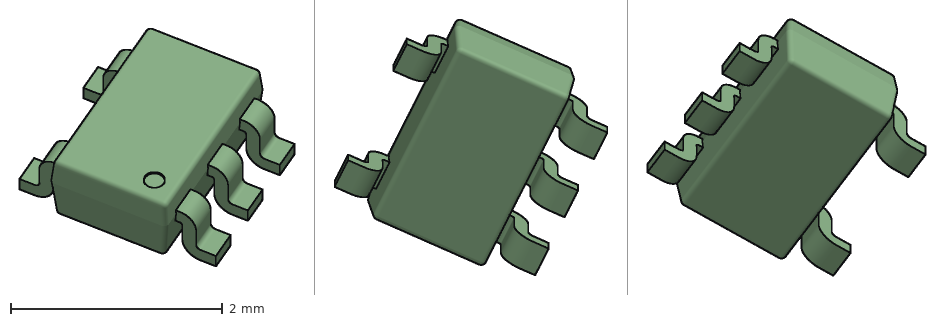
import cadquery as cq
import math

body_width = 1.25
body_length = 2.0
body_bottom = 0.05
body_top = 0.8
parting_height = 0.53
draft_angle = 5.0
edge_radius = 0.05

mark_x = 0.355
mark_y = -0.73
mark_diameter = 0.2
mark_depth = 0.02

lead_span = 2.1
lead_width = 0.3
lead_thickness = 0.15
lead_pitch = 0.65
lead_top = 0.575
foot_length = 0.212
shoulder_inner_radius = 0.025
ankle_inner_radius = 0.05
lead_embed = 0.105


def make_body_half(height):
    """Tapered block from the parting line; a negative height goes down."""
    return (
        cq.Workplane("XY")
        .workplane(offset=parting_height)
        .rect(body_width, body_length)
        .extrude(height, taper=draft_angle)
    )


def make_body():
    upper = make_body_half(body_top - parting_height)
    lower = make_body_half(body_bottom - parting_height)
    body = upper.union(lower)
    corner_edges = body.edges("not(#Z)")
    rims = body.faces("<Z or >Z").edges()
    return body.newObject(corner_edges.vals() + rims.vals()).fillet(edge_radius)


def make_lead(y_centre):
    """Lead on the +X side: foot, upright, and shoulder running into the body."""
    toe_x = lead_span / 2
    upright_outer_x = toe_x - foot_length
    upright_inner_x = upright_outer_x - lead_thickness
    root_x = body_width / 2 - lead_embed
    shoulder_outer_radius = shoulder_inner_radius + lead_thickness
    ankle_outer_radius = ankle_inner_radius + lead_thickness
    shoulder_x = upright_inner_x - shoulder_inner_radius
    shoulder_z = lead_top - shoulder_outer_radius
    ankle_x = upright_outer_x + ankle_inner_radius
    ankle_z = ankle_outer_radius
    diagonal = math.sqrt(0.5)

    def on_shoulder(radius):
        return (shoulder_x + radius * diagonal, shoulder_z + radius * diagonal)

    def on_ankle(radius):
        return (ankle_x - radius * diagonal, ankle_z - radius * diagonal)

    return (
        cq.Workplane("XZ", origin=(0, y_centre, 0))
        .moveTo(root_x, lead_top)
        .lineTo(shoulder_x, lead_top)
        .threePointArc(on_shoulder(shoulder_outer_radius), (upright_outer_x, shoulder_z))
        .lineTo(upright_outer_x, ankle_z)
        .threePointArc(on_ankle(ankle_inner_radius), (ankle_x, lead_thickness))
        .lineTo(toe_x, lead_thickness)
        .lineTo(toe_x, 0)
        .lineTo(ankle_x, 0)
        .threePointArc(on_ankle(ankle_outer_radius), (upright_inner_x, ankle_z))
        .lineTo(upright_inner_x, shoulder_z)
        .threePointArc(on_shoulder(shoulder_inner_radius), (shoulder_x, lead_top - lead_thickness))
        .lineTo(root_x, lead_top - lead_thickness)
        .close()
        .extrude(lead_width / 2, both=True)
    )


def make_pin_one_mark():
    return (
        cq.Workplane("XY", origin=(mark_x, mark_y, body_top - mark_depth))
        .circle(mark_diameter / 2)
        .extrude(mark_depth)
    )


result = make_body().cut(make_pin_one_mark())

for row in (-1, 0, 1):
    lead = make_lead(row * lead_pitch)
    result = result.union(lead)
    if row != 0:
        result = result.union(lead.mirror("YZ"))